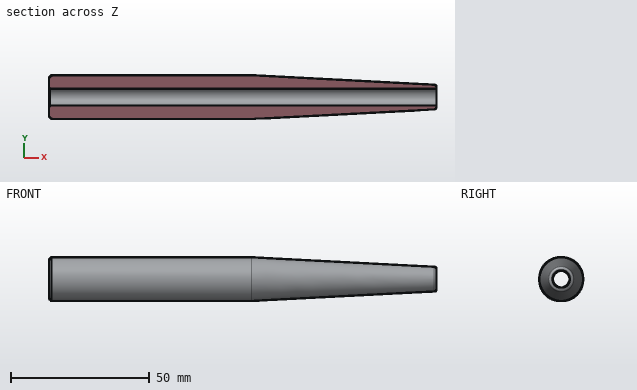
import cadquery as cq

length = 140.0
shank_length = 73.1
shank_radius = 16.0 / 2
tip_radius = 9.0 / 2

shank_chamfer = 1.0
tip_fillet = 1.0

bore_radius = 6.0 / 2
mouth_radius = 7.0 / 2
mouth_depth = mouth_radius - bore_radius

x_start = -length / 2
x_end = length / 2
x_taper = x_start + shank_length

body_section = (
    cq.Workplane("XY")
    .moveTo(x_start, 0)
    .lineTo(x_start, shank_radius - shank_chamfer)
    .lineTo(x_start + shank_chamfer, shank_radius)
    .lineTo(x_taper, shank_radius)
    .lineTo(x_end, tip_radius)
    .lineTo(x_end, 0)
    .close()
)
body = body_section.revolve(360, (0, 0, 0), (1, 0, 0))
body = body.faces(">X").edges().fillet(tip_fillet)

bore_section = (
    cq.Workplane("XY")
    .moveTo(x_start, 0)
    .lineTo(x_start, mouth_radius)
    .lineTo(x_start + mouth_depth, bore_radius)
    .lineTo(x_end, bore_radius)
    .lineTo(x_end, 0)
    .close()
)
bore = bore_section.revolve(360, (0, 0, 0), (1, 0, 0))

result = body.cut(bore)